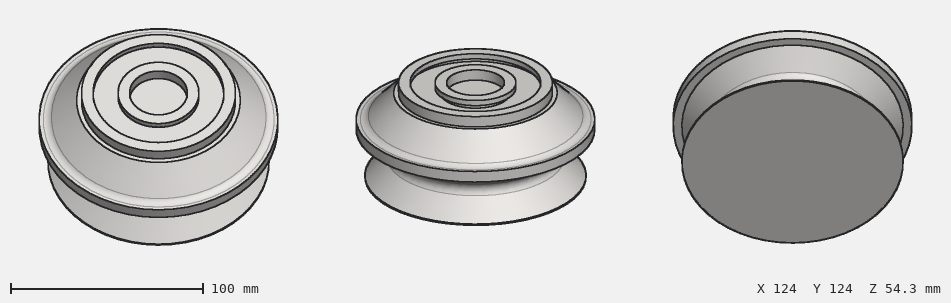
import cadquery as cq

total_height = 54.3
lip_height = 0.7
neck_corner_height = 15.3
collar_height = 6.0
flange_top_drop = 21.0
flange_thickness = 6.1

shoulder_height = total_height - collar_height
flange_top = total_height - flange_top_drop
flange_bottom = flange_top - flange_thickness

flange_radius = 124 / 2
bellows_radius = 115.0 / 2
neck_corner_radius = 42.7
collar_radius = 80.0 / 2
shoulder_radius = bellows_radius - (shoulder_height - flange_top)

neck_fillet = 4.5
flange_fillet = 6.0

recess_depth = collar_height
lip_thickness = 3.0
groove_mouth_outer_radius = 68.0 / 2
groove_mouth_inner_radius = 42.0 / 2
groove_floor_outer_radius = 74.0 / 2
groove_floor_inner_radius = 36.0 / 2
center_hole_diameter = 30.0


def make_ring(outer_radius, inner_radius, bottom, height):
    """Flat ring centred on the Z axis."""
    plane = cq.Workplane("XY").workplane(offset=bottom)
    return plane.circle(outer_radius).circle(inner_radius).extrude(height)


def make_body():
    """Revolve the outside: lower cone, neck, upper bellows, flange, cone and collar."""
    profile = [
        (0, 0),
        (bellows_radius, 0),
        (bellows_radius, lip_height),
        (neck_corner_radius, neck_corner_height),
        (bellows_radius, flange_bottom),
        (flange_radius, flange_bottom),
        (flange_radius, flange_top),
        (bellows_radius, flange_top),
        (shoulder_radius, shoulder_height),
        (collar_radius, shoulder_height),
        (collar_radius, total_height),
        (0, total_height),
    ]
    return cq.Workplane("XZ").polyline(profile).close().revolve(360, (0, 0, 0), (0, 1, 0))


def round_corner(body, corner_radius, corner_height, fillet_radius):
    """Fillet the circular edge of the given radius and height."""
    margin = 0.1
    half_width = corner_radius + margin
    selector = cq.selectors.BoxSelector(
        (-half_width, -half_width, corner_height - margin),
        (half_width, half_width, corner_height + margin),
        boundingbox=True,
    )
    return body.edges(selector).fillet(fillet_radius)


def cut_top_recess(body):
    """Cut the undercut ring groove and the blind hole in the central boss."""
    floor = total_height - recess_depth
    undercut_height = recess_depth - lip_thickness
    mouth = make_ring(groove_mouth_outer_radius, groove_mouth_inner_radius, floor, recess_depth)
    undercut = make_ring(groove_floor_outer_radius, groove_floor_inner_radius, floor, undercut_height)
    body = body.cut(mouth.union(undercut))
    return body.faces(">Z").workplane(origin=(0, 0, total_height)).hole(center_hole_diameter, recess_depth)


body = make_body()
body = round_corner(body, neck_corner_radius, neck_corner_height, neck_fillet)
body = round_corner(body, bellows_radius, flange_top, flange_fillet)
result = cut_top_recess(body)